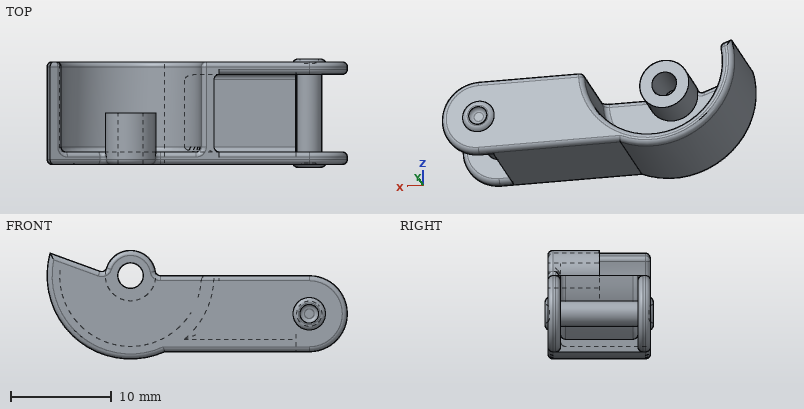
import cadquery as cq
import math

overall_length = 29.83
width = 10.2
wall = 1.25
rounding = 0.5
hook_radius = 8.3
boss_radius = 2.5
pivot_radius = 1.25
boss_inner_y = 0.0
tip_height = 2.25
lip_angle = 20.0
arm_radius = 3.8
pin_radius = 1.25
floor_end_x = 16.4
head_radius = 1.6
head_height = 0.3
head_flat_radius = 1.07
recess_radius = 0.92
recess_depth = 0.45

half_width = width / 2
inner_y = half_width - wall
cavity_radius = hook_radius - wall
arm_bottom = -2 * arm_radius
arm_end_x = overall_length - hook_radius
pin_x = arm_end_x - arm_radius
floor_z = arm_bottom + wall
tip_x = -math.sqrt(hook_radius**2 - tip_height**2)
lip_slope = math.tan(math.radians(lip_angle))


def prism(sketch, y_start, y_end):
    """Extrude an XZ sketch from y_start to y_end."""
    return sketch.extrude(y_start - y_end).translate((0, y_start, 0))


def cylinder(radius, y_start, y_end, x=0, z=0):
    """Cylinder along Y, centred at (x, z)."""
    return prism(cq.Workplane("XZ").center(x, z).circle(radius), y_start, y_end)


def make_blank():
    """Solid outline of hook, pivot boss and arm, rounded along both flanks."""
    junction_x = math.sqrt(hook_radius**2 - arm_bottom**2)
    hook_bend = hook_radius * math.sqrt(0.5)
    lip_end_z = tip_height + tip_x * lip_slope
    outline = (
        cq.Workplane("XZ")
        .moveTo(tip_x, tip_height)
        .lineTo(0, lip_end_z)
        .lineTo(0, 0)
        .lineTo(pin_x, 0)
        .threePointArc((arm_end_x, -arm_radius), (pin_x, arm_bottom))
        .lineTo(junction_x, arm_bottom)
        .threePointArc((-hook_bend, -hook_bend), (tip_x, tip_height))
        .close()
    )
    blank = prism(outline, -half_width, half_width)
    blank = blank.union(cylinder(boss_radius, -half_width, half_width))
    boss_corners = cq.selectors.BoxSelector(
        (-boss_radius - 0.3, -width, -0.3), (boss_radius + 0.3, width, boss_radius - 0.3)
    )
    blank = blank.edges("|Y").edges(boss_corners).fillet(rounding)
    return blank.faces("<Y or >Y").edges().fillet(rounding)


def make_cavity():
    """Round hook cavity, open at the back, with a rounded edge at its closed end."""
    return cylinder(cavity_radius, -inner_y, width).faces("<Y").edges().fillet(rounding)


def make_pocket():
    """Space between the arm plates, with a floor that stops short of the pin."""
    above_floor = cq.Workplane("XY").box(
        arm_end_x, 2 * inner_y, arm_radius * 2, centered=(False, True, False)
    ).translate((0, 0, floor_z))
    above_floor = above_floor.edges("|X and <Z").fillet(rounding)
    past_floor = cq.Workplane("XY").box(
        arm_end_x, 2 * inner_y, 4 * arm_radius, centered=(False, True, True)
    ).translate((floor_end_x, 0, -arm_radius))
    hook_core = cylinder(hook_radius, -width, width)
    return above_floor.union(past_floor).cut(hook_core)


def round_rim_through(body, point):
    """Round the chain of tangent edges that passes through a point."""
    return body.edges(cq.NearestToPointSelector(point)).fillet(rounding)


def round_inner_rims(body):
    """Round the open edges of the cavity and of both arm plates."""
    plate_middle_x = (hook_radius + pin_x) / 2
    body = round_rim_through(body, (cavity_radius, 0, 0))
    for plate_y in (-inner_y, inner_y):
        body = round_rim_through(body, (plate_middle_x, plate_y, 0))
    return body


def make_divider_root():
    """Concave corner joining the divider to one arm plate, closing off that plate's rounded rim."""
    start_radius = hook_radius - wall / 2
    end_radius = hook_radius + rounding
    outer_y = half_width - rounding
    bend = rounding * (1 - math.sqrt(0.5))
    ring = (
        cq.Workplane("XY")
        .moveTo(start_radius, inner_y - rounding)
        .lineTo(hook_radius, inner_y - rounding)
        .threePointArc((hook_radius + bend, inner_y - bend), (end_radius, inner_y))
        .lineTo(end_radius, outer_y)
        .lineTo(start_radius, outer_y)
        .close()
        .revolve(360, (0, 0), (0, 1))
    )
    pocket_height = cq.Workplane("XY").box(
        end_radius, width, -floor_z, centered=(False, False, False)
    ).translate((0, 0, floor_z))
    return ring.intersect(pocket_height)


def make_pin():
    """Pin through the arm plates, with domed and dimpled heads."""
    head_y = half_width + head_height
    recess_floor_radius = recess_radius - recess_depth
    bend = recess_depth * math.sqrt(0.5)
    half_profile = (
        cq.Workplane("XY")
        .lineTo(0, head_y - recess_depth)
        .lineTo(recess_floor_radius, head_y - recess_depth)
        .threePointArc((recess_floor_radius + bend, head_y - bend), (recess_radius, head_y))
        .lineTo(head_flat_radius, head_y)
        .tangentArcPoint((head_radius, half_width), relative=False)
        .lineTo(pin_radius, half_width)
        .lineTo(pin_radius, 0)
        .close()
    )
    half_pin = half_profile.revolve(360, (0, 0), (0, 1))
    pin = half_pin.union(half_pin.mirror("XZ"))
    return pin.translate((pin_x, 0, -arm_radius))


body = make_blank().cut(make_cavity()).cut(make_pocket())
body = round_inner_rims(body)
divider_root = make_divider_root()
body = body.union(divider_root).union(divider_root.mirror("XZ"))
boss = cylinder(boss_radius, rounding - half_width, boss_inner_y)
body = body.union(boss).cut(cylinder(pivot_radius, -width, width))
pin_bore = cylinder(pin_radius, -width, width, pin_x, -arm_radius)
result = body.cut(pin_bore).union(make_pin())